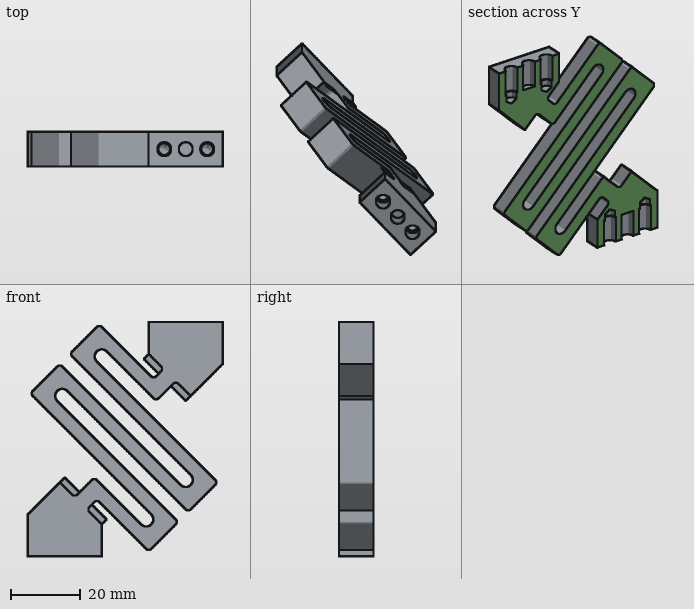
import cadquery as cq
import math

FRAME = cq.Plane(origin=(0, 0, 0), xDir=(1, 0, -1), normal=(0, -1, 0))

thickness = 10.0
half_thickness = thickness / 2

arm_width = 4.0
slot_width = 4.0
slot_radius = slot_width / 2
arm_count = 5
pitch = arm_width + slot_width
spring_left = -28.5
spring_right = 27.5
end_wall = 5.0
spring_half_width = ((arm_count - 1) * pitch + arm_width) / 2

neck_width = 5.0
neck_near = 1.5
neck_far = neck_near + neck_width
neck_centre_u = -(neck_near + neck_far) / 2
neck_length = 4.0
corner_radius = 1.0

block_face_width = 17.0
block_v = spring_half_width + neck_length
block_u_left = neck_centre_u - block_face_width / 2
block_u_right = neck_centre_u + block_face_width / 2
block_width = 15.0 * math.sqrt(2)
block_side_height = 12.0

lip_reach = 2.0
lip_thickness = 0.1

hole_spacing = 6.15
bore_diameter = 4.0
bore_depth = 8.0
drill_diameter = 3.4
drill_depth = 10.0
drill_point_angle = 118.0


def xz(u, v):
    """Convert arm-frame coordinates to X and Z."""
    return (u + v) / math.sqrt(2), (v - u) / math.sqrt(2)


block_x_left, block_z_left = xz(block_u_left, block_v)
block_x_right = block_x_left + block_width
block_x_tip, block_z_tip = xz(block_u_right, block_v)
block_z_right = block_z_tip + block_x_right - block_x_tip
block_top = block_z_right + block_side_height


def bar(u0, u1, v0, v1):
    """Full-thickness rectangular bar aligned with the arms."""
    return (
        cq.Workplane(FRAME)
        .center((u0 + u1) / 2, (v0 + v1) / 2)
        .rect(u1 - u0, v1 - v0)
        .extrude(half_thickness, both=True)
    )


def half_turn(shape):
    """Copy turned 180 degrees about the Y axis through the part centre."""
    return shape.rotate((0, 0, 0), (0, 1, 0), 180)


def round_corners(shape, corners):
    """Round the through-thickness edges that pass through the given (u, v) corners."""
    reach = corner_radius / 10
    for u, v in corners:
        x, z = xz(u, v)
        box = cq.selectors.BoxSelector(
            (x - reach, -thickness, z - reach), (x + reach, thickness, z + reach)
        )
        shape = shape.edges("|Y").edges(box).fillet(corner_radius)
    return shape


def slot(v, closed_left):
    """Slot with a round closed end, running out through the other end of the spring."""
    if closed_left:
        round_u = spring_left + end_wall + slot_radius
        open_u = spring_right
    else:
        round_u = spring_right - end_wall - slot_radius
        open_u = spring_left
    bottom = v - slot_radius
    top = v + slot_radius
    channel = bar(min(round_u, open_u), max(round_u, open_u), bottom, top)
    round_end = (
        cq.Workplane(FRAME)
        .center(round_u, v)
        .circle(slot_radius)
        .extrude(half_thickness, both=True)
    )
    return channel.union(round_end)


def make_spring():
    """Five-arm serpentine whose two outer arms stop at the necks."""
    outer_arm_inside = spring_half_width - arm_width
    spring = bar(spring_left, spring_right, -spring_half_width, spring_half_width)
    spring = spring.cut(bar(-neck_near, spring_right, outer_arm_inside, spring_half_width))
    spring = spring.cut(bar(spring_left, neck_near, -spring_half_width, -outer_arm_inside))
    corners = [(-neck_near, outer_arm_inside), (neck_near, -outer_arm_inside)]
    for index in range(arm_count - 1):
        slot_v = spring_half_width - arm_width - slot_radius - index * pitch
        closed_left = index % 2 == 0
        spring = spring.cut(slot(slot_v, closed_left))
        bend_u = spring_left if closed_left else spring_right
        bend_reach = slot_radius + arm_width
        corners.append((bend_u, slot_v + bend_reach))
        corners.append((bend_u, slot_v - bend_reach))
    return round_corners(spring, corners)


def make_neck():
    """Upper neck, running from the top arm into the block."""
    return bar(-neck_far, -neck_near, spring_half_width - arm_width / 2, block_v)


def make_block():
    """Upper end block."""
    outline = [
        (block_x_left, block_z_left),
        (block_x_tip, block_z_tip),
        (block_x_right, block_z_right),
        (block_x_right, block_top),
        (block_x_left, block_top),
    ]
    return cq.Workplane("XZ").polyline(outline).close().extrude(half_thickness, both=True)


def make_lip():
    """Thin lip flush with the back of the part, beside the upper neck."""
    lip = bar(block_u_left, block_u_right, block_v - lip_reach, block_v)
    return lip.intersect(lip.translate((0, thickness - lip_thickness, 0)))


def revolved_hole(x, profile):
    """Hole cutter about a vertical axis at x, from (radius, depth) points."""
    return (
        cq.Workplane("XZ", origin=(x, 0, block_top))
        .polyline([(radius, -depth) for radius, depth in profile])
        .close()
        .revolve(360, (0, 0), (0, 1))
    )


def make_holes():
    """Flat-bottomed pin hole between two stepped screw holes with drill points."""
    centre_x = (block_x_left + block_x_right) / 2
    bore_radius = bore_diameter / 2
    drill_radius = drill_diameter / 2
    point_length = drill_radius / math.tan(math.radians(drill_point_angle / 2))
    pin_profile = [(0, 0), (bore_radius, 0), (bore_radius, bore_depth), (0, bore_depth)]
    screw_profile = [
        (0, 0),
        (bore_radius, 0),
        (bore_radius, bore_depth),
        (drill_radius, bore_depth),
        (drill_radius, drill_depth),
        (0, drill_depth + point_length),
    ]
    holes = revolved_hole(centre_x, pin_profile)
    for side in (-1, 1):
        holes = holes.union(revolved_hole(centre_x + side * hole_spacing, screw_profile))
    return holes


upper_end = make_neck().union(make_block())
result = make_spring().union(upper_end).union(half_turn(upper_end))

neck_corners = [(-neck_far, spring_half_width), (-neck_far, block_v), (-neck_near, block_v)]
opposite_corners = [(-u, -v) for u, v in neck_corners]
result = round_corners(result, neck_corners + opposite_corners)

lip = make_lip()
holes = make_holes()
result = result.union(lip).union(half_turn(lip))
result = result.cut(holes).cut(half_turn(holes))